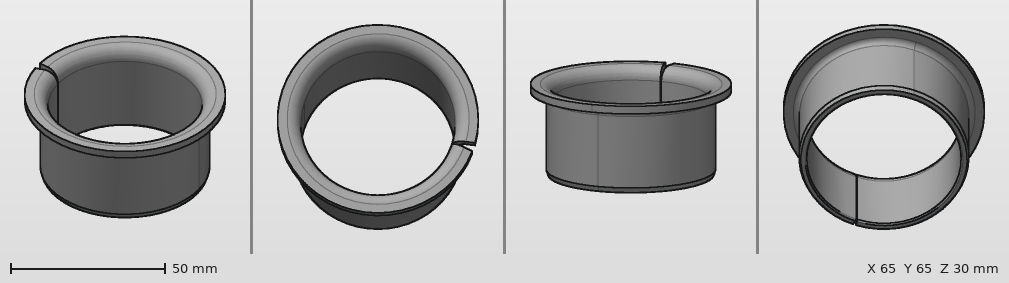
import cadquery as cq
import math

flange_radius = 32.5
height = 30.0
wall = 2.55
bore_radius = 24.95
body_radius = bore_radius + wall
flange_thickness = wall
inner_bend_radius = 4.5
outer_bend_radius = inner_bend_radius - wall
chamfer_height = 1.75
chamfer_inset = 0.6
bore_edge_radius = 0.5

split_gap_inner = 0.4
split_half_angle = 9.8
cut_reach = 1.3


def bend_midpoint(center, radius):
    """Middle of a quarter arc on the upper inward side of its center."""
    center_x, center_z = center
    offset = radius * math.sqrt(0.5)
    return center_x - offset, center_z + offset


def make_bushing():
    """Revolve the wall, bend and flange as a single section."""
    bend_x = bore_radius + inner_bend_radius
    bend_z = height - inner_bend_radius
    flange_bottom = height - flange_thickness
    bend_center = (bend_x, bend_z)
    inner_mid = bend_midpoint(bend_center, inner_bend_radius)
    outer_mid = bend_midpoint(bend_center, outer_bend_radius)
    section = (
        cq.Workplane("XZ")
        .moveTo(bore_radius + bore_edge_radius, 0)
        .lineTo(body_radius - chamfer_inset, 0)
        .lineTo(body_radius, chamfer_height)
        .lineTo(body_radius, bend_z)
        .threePointArc(outer_mid, (bend_x, flange_bottom))
        .lineTo(flange_radius, flange_bottom)
        .lineTo(flange_radius, height)
        .lineTo(bend_x, height)
        .threePointArc(inner_mid, (bore_radius, bend_z))
        .lineTo(bore_radius, bore_edge_radius)
        .radiusArc((bore_radius + bore_edge_radius, 0), -bore_edge_radius)
        .close()
    )
    return section.revolve(360, (0, 0), (0, 1))


def make_split():
    """Wedge through the full height, narrowest at the bore."""
    slope = math.tan(math.radians(split_half_angle))
    near = bore_radius - cut_reach
    far = flange_radius + cut_reach
    inner_half = split_gap_inner / 2
    outer_half = inner_half + (far - bore_radius) * slope
    return (
        cq.Workplane("XY")
        .polyline([
            (-near, -inner_half),
            (-bore_radius, -inner_half),
            (-far, -outer_half),
            (-far, outer_half),
            (-bore_radius, inner_half),
            (-near, inner_half),
        ])
        .close()
        .extrude(height)
    )


result = make_bushing().cut(make_split())